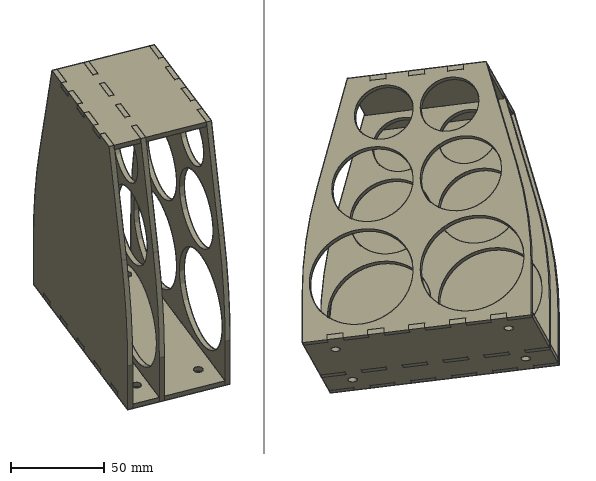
import cadquery as cq
import math

height = 157.0
depth = 60.0
base_width = 127.0
top_width = 77.0
sheet = 3.0
front_gap = 15.5

bend_start_z = 29.0
corner_z = 61.5

finger_length = 9.0
base_finger_count = 5
top_finger_count = 3

screw_diameter = 5.0
screw_x = 48.0
screw_y = 18.0
window_diameters = [57.5, 45.0, 32.5]

half_base = base_width / 2
half_top = top_width / 2
front_y = -depth / 2
divider_y = front_y + sheet + front_gap
back_y = depth / 2 - sheet

bridge = (height - 2 * sheet - sum(window_diameters)) / (len(window_diameters) + 1)

lean_angle = math.atan2(half_base - half_top, height - corner_z)
tangent_length = corner_z - bend_start_z
bend_end_x = half_base - tangent_length * math.sin(lean_angle)
bend_end_z = corner_z + tangent_length * math.cos(lean_angle)
bend_radius = tangent_length / math.tan(lean_angle / 2)
bend_middle_x = half_base - bend_radius * (1 - math.cos(lean_angle / 2))
bend_middle_z = bend_start_z + bend_radius * math.sin(lean_angle / 2)


def slab(x_size, y_size):
    """A sheet lying on Z = 0, centred in X and Y."""
    return cq.Workplane("XY").box(x_size, y_size, sheet, centered=(True, True, False))


def finger_centers(width, count):
    """X centres of fingers with equal gaps between them and outside the end ones."""
    gap = (width - count * finger_length) / (count + 1)
    pitch = gap + finger_length
    return [(i - (count - 1) / 2) * pitch for i in range(count)]


def make_upright(y_front):
    """A solid upright plate, notched where the base and top fingers pass through it."""
    plate = (
        cq.Workplane("XZ", origin=(0, y_front, 0))
        .moveTo(-half_base, 0)
        .lineTo(half_base, 0)
        .lineTo(half_base, bend_start_z)
        .threePointArc((bend_middle_x, bend_middle_z), (bend_end_x, bend_end_z))
        .lineTo(half_top, height)
        .lineTo(-half_top, height)
        .lineTo(-bend_end_x, bend_end_z)
        .threePointArc((-bend_middle_x, bend_middle_z), (-half_base, bend_start_z))
        .close()
        .extrude(-sheet)
    )
    finger = slab(finger_length, sheet)
    y_middle = y_front + sheet / 2
    for x in finger_centers(base_width, base_finger_count):
        plate = plate.cut(finger.translate((x, y_middle, 0)))
    for x in finger_centers(top_width, top_finger_count):
        plate = plate.cut(finger.translate((x, y_middle, height - sheet)))
    return plate


def make_windowed_upright(y_front):
    """An upright plate with the three pairs of round windows."""
    plate = make_upright(y_front)
    lower_edge_z = sheet + bridge
    for diameter in window_diameters:
        x = (diameter + bridge) / 2
        z = lower_edge_z + diameter / 2
        windows = (
            cq.Workplane("XZ", origin=(0, y_front, 0))
            .pushPoints([(-x, z), (x, z)])
            .circle(diameter / 2)
            .extrude(-sheet)
        )
        plate = plate.cut(windows)
        lower_edge_z += diameter + bridge
    return plate


def fit_around(plate, uprights):
    """Cut slots for the uprights in a horizontal plate, which leaves its fingers."""
    for upright in uprights:
        plate = plate.cut(upright)
    return plate


front_plate = make_upright(front_y)
divider = make_windowed_upright(divider_y)
back_plate = make_windowed_upright(back_y)
uprights = [front_plate, divider, back_plate]

base_plate = (
    slab(base_width, depth)
    .faces(">Z")
    .workplane()
    .rect(2 * screw_x, 2 * screw_y, forConstruction=True)
    .vertices()
    .hole(screw_diameter)
)
base_plate = fit_around(base_plate, uprights)

top_plate = fit_around(slab(top_width, depth).translate((0, 0, height - sheet)), uprights)

result = cq.Compound.makeCompound(
    [front_plate.val(), divider.val(), back_plate.val(), base_plate.val(), top_plate.val()]
)